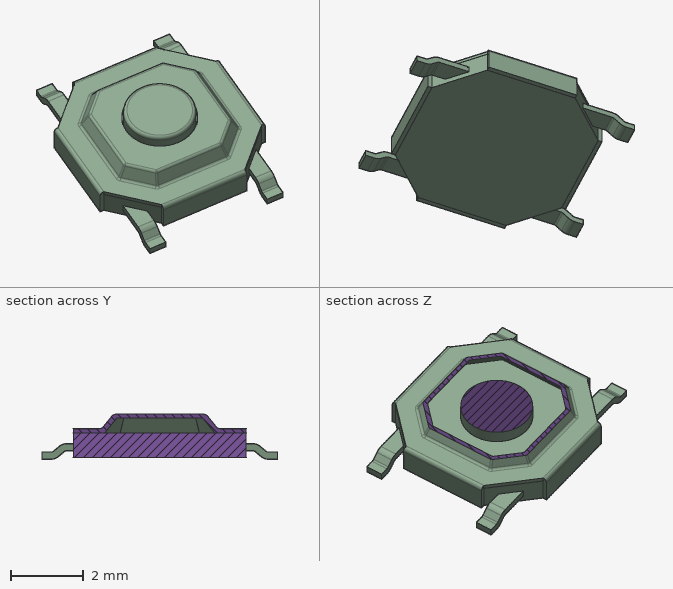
import cadquery as cq
import math

body_width = 5.2
sheet = 0.12
cover_top = 0.8
tab_width = 2.625

dome_half_width = 1.9
dome_diagonal_half = 2.13
dome_height = 0.4
dome_lean = 30.0
dome_radius = 0.1

button_radius = 1.0
button_rise = 0.3
button_edge_radius = 0.1
button_clearance = 0.045

lead_span = 6.5
lead_width = 0.5
lead_thickness = 0.2
lead_row_y = 1.845
lead_bottom = 0.18
foot_bottom = -0.049
lead_root_x = 1.43
lead_bend_x = 2.575
lead_bend_angle = 40.0
lead_inner_radius = 0.1

plate_half = body_width / 2 - sheet
plate_diagonal_half = (plate_half + tab_width / 2) / math.sqrt(2)
base_top = cover_top - sheet
dome_top = cover_top + dome_height
button_top = dome_top + button_rise


def octagonal_block(half_width, diagonal_half, bottom, height, lean=0.0):
    """Octagonal block whose side faces lean inward by the given angle."""
    corner = diagonal_half * math.sqrt(2) - half_width
    points = [
        (half_width, -corner), (half_width, corner),
        (corner, half_width), (-corner, half_width),
        (-half_width, corner), (-half_width, -corner),
        (-corner, -half_width), (corner, -half_width),
    ]
    outline = cq.Workplane("XY").workplane(offset=bottom).polyline(points).close()
    return outline.extrude(height, taper=lean)


def make_lead():
    """Lead on the +X side at Y = 0: straight out, bent down, then a flat foot."""
    angle = math.radians(lead_bend_angle)
    radius = lead_inner_radius + lead_thickness / 2
    drop = lead_bottom - foot_bottom
    bend_run = radius * math.sin(angle)
    bend_drop = radius * (1 - math.cos(angle))
    slope_drop = drop - 2 * bend_drop
    slope_run = slope_drop / math.tan(angle)
    start_z = lead_bottom + lead_thickness / 2

    centre_line = (
        cq.Workplane("XZ")
        .moveTo(lead_root_x, start_z)
        .lineTo(lead_bend_x, start_z)
        .tangentArcPoint((bend_run, -bend_drop))
        .line(slope_run, -slope_drop)
        .tangentArcPoint((bend_run, -bend_drop))
        .lineTo(lead_span / 2, start_z - drop)
    )
    section = cq.Workplane("YZ", origin=(lead_root_x, 0, start_z)).rect(lead_width, lead_thickness)
    return section.sweep(centre_line)


def make_base():
    """Moulded octagonal base together with its four leads."""
    base = octagonal_block(plate_half, plate_diagonal_half, 0, base_top)
    lead = make_lead()
    for row_y in (-lead_row_y, lead_row_y):
        for turn in (0, 180):
            base = base.union(lead.rotate((0, 0, 0), (0, 0, 1), turn).translate((0, row_y, 0)))
    return base


def make_tab():
    """Folded tab on the +X side: a strip curving over into the plate edge."""
    profile = (
        cq.Workplane("XZ")
        .moveTo(plate_half, 0)
        .lineTo(plate_half + sheet, 0)
        .lineTo(plate_half + sheet, base_top)
        .radiusArc((plate_half, cover_top), -sheet)
        .close()
    )
    return profile.extrude(tab_width / 2, both=True)


def make_dome_cavity():
    """Hollow under the dome that leaves a wall one sheet thick."""
    lean = math.radians(dome_lean)
    inset = sheet / math.cos(lean) - sheet * math.tan(lean)
    return octagonal_block(
        dome_half_width - inset, dome_diagonal_half - inset, base_top, dome_height, dome_lean
    )


def make_cover():
    """Sheet-metal cover: octagonal plate, raised hollow dome and four folded tabs."""
    plate = octagonal_block(plate_half, plate_diagonal_half, base_top, sheet)
    dome = octagonal_block(dome_half_width, dome_diagonal_half, cover_top, dome_height, dome_lean)
    cover = plate.union(dome)

    rim_limit = (dome_diagonal_half + plate_half) / 2
    dome_edges = cover.edges().filter(
        lambda edge: math.hypot(edge.Center().x, edge.Center().y) < rim_limit
    )
    cover = dome_edges.fillet(dome_radius)

    button_hole = (
        cq.Workplane("XY", origin=(0, 0, base_top))
        .circle(button_radius + button_clearance)
        .extrude(dome_top - base_top)
    )
    cover = cover.cut(make_dome_cavity()).cut(button_hole)

    for turn in (0, 90, 180, 270):
        cover = cover.union(make_tab().rotate((0, 0, 0), (0, 0, 1), turn))
    return cover


def make_button():
    """Round push button standing on the base, with a rounded top edge."""
    button = cq.Workplane("XY", origin=(0, 0, base_top)).circle(button_radius).extrude(button_top - base_top)
    return button.faces(">Z").edges().fillet(button_edge_radius)


base = make_base()
cover = make_cover()
button = make_button()
result = cq.Compound.makeCompound([base.val(), cover.val(), button.val()])